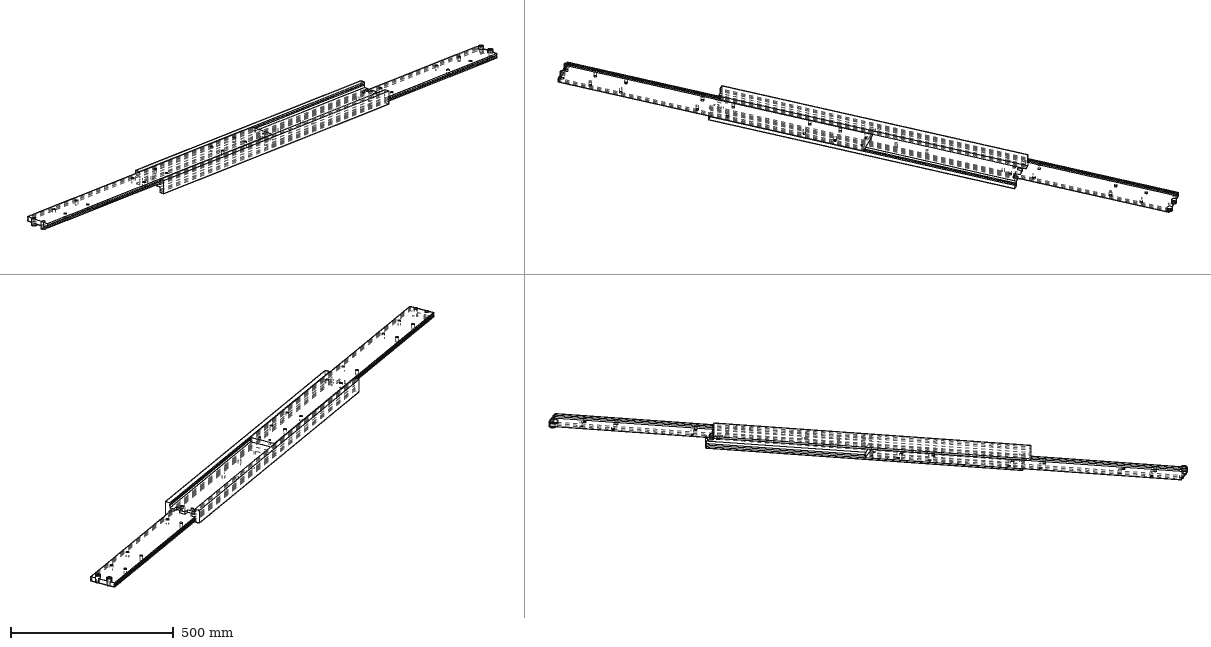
import cadquery as cq

CARRIER_LENGTH = 1000.0
CARRIER_WIDTH = 120.0
CARRIER_HEIGHT = 45.0
FLANGE_THICKNESS = 15.0
WEB_THICKNESS = 8.0
CHANNEL_WIDTH = CARRIER_WIDTH - 2 * FLANGE_THICKNESS
CHANNEL_DEPTH = (CARRIER_HEIGHT - WEB_THICKNESS) / 2

OVERALL_LENGTH = 2000.0
RAIL_WIDTH = 85.0
RAIL_THICKNESS = 15.0
RAIL_BOTTOM = CARRIER_HEIGHT / 2 - RAIL_THICKNESS
RAIL_CENTER_HEIGHT = RAIL_BOTTOM + RAIL_THICKNESS / 2

TRACK_DIAMETER = 5.0
TRACK_CENTER_X = (RAIL_WIDTH + CHANNEL_WIDTH) / 4

PIN_DIAMETER = 15.0
PIN_BORE = 9.0
PIN_OFFSET = 20.0
PIN_OVERHANG = 2.0
PIN_TIP_HEIGHT = -2.0
PIN_Y = (OVERALL_LENGTH - PIN_DIAMETER) / 2
RAIL_LENGTH = OVERALL_LENGTH / 2 - PIN_OVERHANG

NOTCH_WIDTH = 20.0
NOTCH_DEPTH = 15.0
NOTCH_Y = (CARRIER_LENGTH - NOTCH_DEPTH) / 2

STOP_HOLE_OFFSET = 18.0
CARRIER_STOP_HOLE_DIAMETER = 8.0
CARRIER_STOP_HOLE_Y = CARRIER_LENGTH / 2 - 30.0
RAIL_STOP_HOLE_DIAMETER = 5.0
RAIL_STOP_HOLE_Y = 15.0

MOUNT_HOLE_DIAMETER = 8.0
MOUNT_HOLE_OFFSET = 25.0
MOUNT_HOLE_DISTANCES = (100.0, 200.0, 450.0, 550.0, 800.0, 900.0)


def grid(offset, y_places):
    """Points mirrored about the YZ plane at every given Y."""
    return [(side * offset, y) for side in (-1, 1) for y in y_places]


def cylinders(points, diameter, bottom, top):
    """Upright cylinders at the given points."""
    return (
        cq.Workplane("XY", origin=(0, 0, bottom))
        .pushPoints(points)
        .circle(diameter / 2)
        .extrude(top - bottom)
    )


def make_tracks(heights):
    """Round bars along Y that cut the facing ball tracks at the given heights."""
    centers = [(side * TRACK_CENTER_X, height) for side in (-1, 1) for height in heights]
    return (
        cq.Workplane("XZ")
        .pushPoints(centers)
        .circle(TRACK_DIAMETER / 2)
        .extrude(OVERALL_LENGTH / 2, both=True)
    )


def make_carrier():
    """H-section carrier with notches and stop holes at both ends of its web."""
    carrier = cq.Workplane("XY").box(CARRIER_WIDTH, CARRIER_LENGTH, CARRIER_HEIGHT)
    channel_height = (WEB_THICKNESS + CHANNEL_DEPTH) / 2
    for side in (-1, 1):
        channel = cq.Workplane("XY").box(CHANNEL_WIDTH, CARRIER_LENGTH, CHANNEL_DEPTH)
        carrier = carrier.cut(channel.translate((0, 0, side * channel_height)))

    notches = (
        cq.Workplane("XY")
        .pushPoints(grid(PIN_OFFSET, (-NOTCH_Y, NOTCH_Y)))
        .box(NOTCH_WIDTH, NOTCH_DEPTH, WEB_THICKNESS)
    )
    stop_holes = cylinders(
        grid(STOP_HOLE_OFFSET, (-CARRIER_STOP_HOLE_Y, CARRIER_STOP_HOLE_Y)),
        CARRIER_STOP_HOLE_DIAMETER,
        -WEB_THICKNESS / 2,
        WEB_THICKNESS / 2,
    )
    tracks = make_tracks((-RAIL_CENTER_HEIGHT, RAIL_CENTER_HEIGHT))
    return carrier.cut(notches).cut(stop_holes).cut(tracks)


def make_upper_rail():
    """Rail in the upper channel, reaching from the middle of the carrier toward -Y."""
    top = CARRIER_HEIGHT / 2
    rail = (
        cq.Workplane("XY")
        .box(RAIL_WIDTH, RAIL_LENGTH, RAIL_THICKNESS)
        .translate((0, -RAIL_LENGTH / 2, RAIL_CENTER_HEIGHT))
        .cut(make_tracks((RAIL_CENTER_HEIGHT,)))
    )

    mount_places = [-distance for distance in MOUNT_HOLE_DISTANCES]
    mount_holes = cylinders(grid(MOUNT_HOLE_OFFSET, mount_places), MOUNT_HOLE_DIAMETER, RAIL_BOTTOM, top)
    stop_points = grid(STOP_HOLE_OFFSET, (-RAIL_STOP_HOLE_Y,))
    stop_holes = cylinders(stop_points, RAIL_STOP_HOLE_DIAMETER, RAIL_BOTTOM, top)

    pin_points = grid(PIN_OFFSET, (-PIN_Y,))
    pins = cylinders(pin_points, PIN_DIAMETER, PIN_TIP_HEIGHT, top)
    pin_bores = cylinders(pin_points, PIN_BORE, PIN_TIP_HEIGHT, top)
    return rail.cut(mount_holes).cut(stop_holes).union(pins).cut(pin_bores)


carrier = make_carrier()
upper_rail = make_upper_rail()
lower_rail = upper_rail.rotate((0, 0, 0), (1, 0, 0), 180)

result = cq.Compound.makeCompound([carrier.val(), upper_rail.val(), lower_rail.val()])